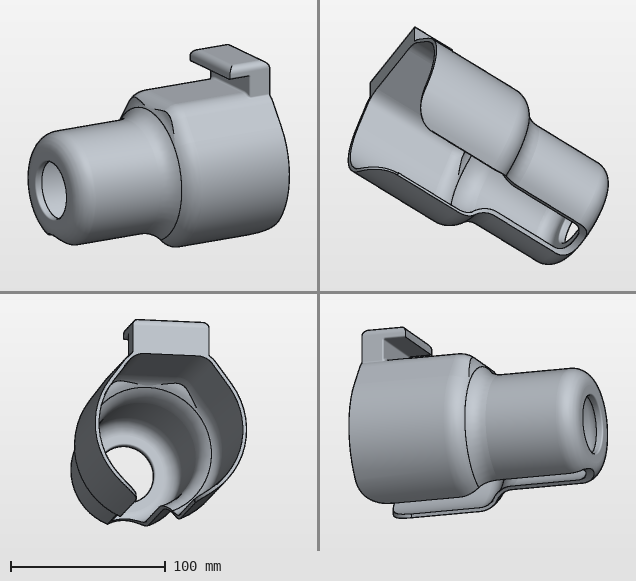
import cadquery as cq
import math

length = 150.0
body_radius = 150.0 / 3
neck_radius = 37.5
wall = 7.5 / 3
lip_thickness = 15.0 / 3
nose_round = 12.0
bore_diameter = 38.0
bore_edge_round = 1.0

top_half_width = body_radius / 2
corner_radius = 15.0

shoulder_radius = 15.0
shoulder_start = 65.4
flare_end = 89.7
blend_overlap = 0.02

slot_radius = 60.0 / 3
slot_tip_round = 18.0

hook_half_width = 25.2
hook_height = 20.8
hook_reach = 30.0
hook_thickness = 8.0
hook_top_round = 5.0
stem_depth = 15.0
hook_edge_round = 1.0
stem_foot_round = 1.5

fit = 0.2


def body_prism(radius, half_width, corner, depth):
    """Body outline extruded from Y = 0 towards the nose."""
    flank_angle = math.pi / 2 - 2 * math.atan(half_width / radius)
    tangent_x = radius * math.cos(flank_angle)
    tangent_z = radius * math.sin(flank_angle)
    outline = (
        cq.Workplane("XZ")
        .moveTo(-half_width, radius)
        .lineTo(half_width, radius)
        .lineTo(tangent_x, tangent_z)
        .threePointArc((0, -radius), (-tangent_x, tangent_z))
        .close()
        .extrude(depth)
    )
    top_corners = cq.selectors.BoxSelector(
        (-half_width - fit, -depth, radius - fit),
        (half_width + fit, 0, radius + fit),
    )
    return outline.edges("|Y").edges(top_corners).fillet(corner)


def neck_and_flare(radius, tip, tip_round, flare_radius):
    """Round neck, its rounded nose and the flare up to where it meets the shoulder."""
    ring_radius = neck_radius + shoulder_radius
    ring_to_round = math.atan2(
        flare_end - shoulder_start, ring_radius - (body_radius - shoulder_radius)
    )
    meet_radius = ring_radius - flare_radius * math.cos(ring_to_round)
    meet_y = -flare_end + flare_radius * math.sin(ring_to_round)
    mid_radius = ring_radius - flare_radius * math.cos(ring_to_round / 2)
    mid_y = -flare_end + flare_radius * math.sin(ring_to_round / 2)
    return (
        cq.Workplane("XY")
        .moveTo(0, -shoulder_start)
        .lineTo(0, -tip)
        .lineTo(radius - tip_round, -tip)
        .radiusArc((radius, -tip + tip_round), -tip_round)
        .lineTo(radius, -flare_end)
        .threePointArc((mid_radius, mid_y), (meet_radius, meet_y))
        .lineTo(meet_radius, -shoulder_start)
        .close()
        .revolve(360, (0, 0), (0, 1))
    )


def envelope(inset, nose_inset):
    """Solid body and neck with the sides moved inwards by inset and the nose face by nose_inset."""
    round_radius = shoulder_radius - inset
    flare_radius = shoulder_radius + inset
    radius = body_radius - inset
    half_width = top_half_width * radius / body_radius
    body = body_prism(radius, half_width, corner_radius - inset, shoulder_start + round_radius)
    body = body.faces("<Y").edges().fillet(round_radius - blend_overlap)
    flare_ring = (
        cq.Workplane("XY")
        .center(neck_radius + shoulder_radius, -flare_end)
        .circle(flare_radius + blend_overlap)
        .revolve(360, (-neck_radius - shoulder_radius, 0), (-neck_radius - shoulder_radius, 1))
    )
    body = body.cut(flare_ring)
    neck = neck_and_flare(
        neck_radius - inset, length - nose_inset, nose_round - inset, flare_radius
    )
    return body.union(neck)


def hook():
    """L-shaped hook: a stem at the back edge carrying a plate that reaches forward."""
    top = body_radius + hook_height
    underside = top - hook_thickness
    root = body_radius - 2 * wall
    shape = (
        cq.Workplane("YZ", origin=(-hook_half_width, 0, 0))
        .moveTo(0, root)
        .lineTo(0, top)
        .lineTo(-hook_reach, top)
        .lineTo(-hook_reach, underside)
        .lineTo(-stem_depth, underside)
        .lineTo(-stem_depth, root)
        .close()
        .extrude(2 * hook_half_width)
    )
    inner_corner = cq.selectors.BoxSelector(
        (-fit, -stem_depth - fit, underside - fit), (fit, -stem_depth + fit, underside + fit)
    )
    shape = shape.edges("|X").edges(inner_corner).fillet(hook_edge_round)
    shape = shape.faces(">Z").edges().fillet(hook_top_round)
    inner_edges = cq.selectors.BoxSelector(
        (-hook_half_width - fit, -stem_depth - fit, root),
        (hook_half_width + fit, -stem_depth + fit, underside + fit),
    )
    return shape.edges("|Z").edges(inner_edges).fillet(hook_edge_round)


def stem_foot():
    """Selects the edges where the hook stem stands on the body."""
    return cq.selectors.BoxSelector(
        (-hook_half_width - fit, -stem_depth - fit, body_radius - corner_radius / 5),
        (hook_half_width + fit, -fit, body_radius + fit),
    )


def slot_mouth():
    """Cutter that flares the slot at the open back, its two corners rounded in plan."""
    slot_angle = 2 * math.asin(slot_radius / (2 * body_radius))
    half_slot = body_radius * math.sin(slot_angle)
    half_mouth = half_slot + slot_tip_round
    return (
        cq.Workplane("XY", origin=(0, 0, -body_radius - fit))
        .moveTo(-half_mouth, 0)
        .radiusArc((-half_slot, -slot_tip_round), slot_tip_round)
        .lineTo(half_slot, -slot_tip_round)
        .radiusArc((half_mouth, 0), slot_tip_round)
        .close()
        .extrude(body_radius)
    )


outer = envelope(0, 0).union(hook())
outer = outer.edges(stem_foot()).edges("not |Z").fillet(stem_foot_round)

bore = cq.Workplane("XZ").circle(bore_diameter / 2).extrude(length)
slot = cq.Workplane("XZ").center(0, -body_radius).circle(slot_radius).extrude(length)

result = outer.cut(slot).cut(slot_mouth()).cut(envelope(wall, lip_thickness)).cut(bore)
lip_reach = bore_diameter / 2 + fit
lip_edges = cq.selectors.BoxSelector(
    (-lip_reach, -length - fit, -lip_reach), (lip_reach, -length + lip_thickness + fit, lip_reach)
)
result = result.edges("%CIRCLE").edges(lip_edges).fillet(bore_edge_round)